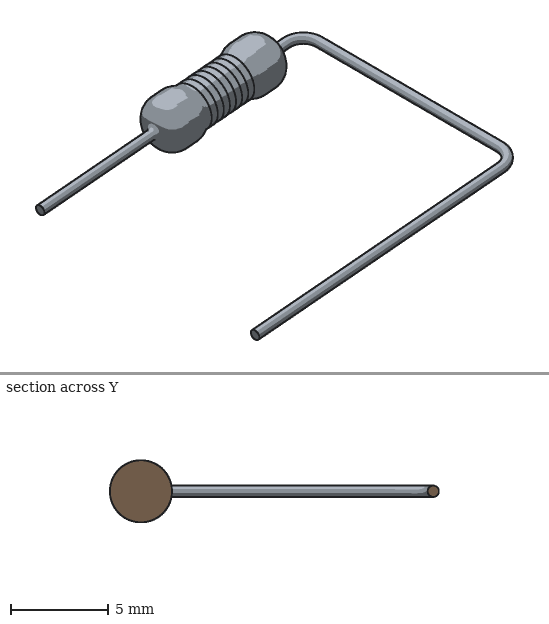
import cadquery as cq
import math


wire_diameter = 0.6
lead_pitch = 15.0
bend_radius = 1.2
cross_wire_y = 6.7
lead_end_y = -13.1

cap_diameter = 3.2
waist_diameter = 2.72
band_diameter = 2.74
band_count = 4
band_width = 0.46
band_step = 2 * band_width
cap_inner_y = 2.56
cap_outer_y = 3.38
dome_radius = 1.1
neck_diameter = 1.2
neck_end_y = 4.77

wire_radius = wire_diameter / 2
cap_radius = cap_diameter / 2
waist_radius = waist_diameter / 2
neck_radius = neck_diameter / 2

waist_end_y = ((band_count - 1) * band_step + band_width) / 2


def make_wire():
    """One wire: through the body, across in X and back along the second lead."""
    bend_start_y = cross_wire_y - bend_radius
    far_bend_x = lead_pitch - bend_radius
    path = (
        cq.Workplane("XY")
        .moveTo(0, lead_end_y)
        .lineTo(0, bend_start_y)
        .radiusArc((bend_radius, cross_wire_y), bend_radius)
        .lineTo(far_bend_x, cross_wire_y)
        .radiusArc((lead_pitch, bend_start_y), bend_radius)
        .lineTo(lead_pitch, lead_end_y)
    )
    section = cq.Workplane("XZ", origin=(0, lead_end_y, 0)).circle(wire_radius)
    return section.sweep(path)


def make_disc(diameter, start_y, length):
    """A cylinder on the body axis, running from start_y toward +Y."""
    plane = cq.Workplane("XZ", origin=(0, start_y, 0))
    return plane.circle(diameter / 2).extrude(-length)


def make_body_end():
    """The +Y end of the body: shoulder, cap, dome and neck, revolved about the Y axis."""
    shoulder_length = cap_inner_y - waist_end_y
    shoulder_drop = cap_radius - waist_radius
    shoulder_radius = (shoulder_length**2 + shoulder_drop**2) / (4 * shoulder_drop)
    shoulder_middle = ((cap_radius + waist_radius) / 2, (cap_inner_y + waist_end_y) / 2)

    dome_centre_x = cap_radius - dome_radius
    dome_end_offset = neck_radius - dome_centre_x
    dome_end_y = cap_outer_y + math.sqrt(dome_radius**2 - dome_end_offset**2)

    neck_width = neck_radius - wire_radius
    neck_height = neck_end_y - dome_end_y
    neck_fillet_radius = (neck_width**2 + neck_height**2) / (2 * neck_width)

    profile = (
        cq.Workplane("XY")
        .moveTo(0, waist_end_y)
        .lineTo(waist_radius, waist_end_y)
        .radiusArc(shoulder_middle, shoulder_radius)
        .radiusArc((cap_radius, cap_inner_y), -shoulder_radius)
        .lineTo(cap_radius, cap_outer_y)
        .radiusArc((neck_radius, dome_end_y), -dome_radius)
        .radiusArc((wire_radius, neck_end_y), neck_fillet_radius)
        .lineTo(0, neck_end_y)
        .close()
    )
    return profile.revolve(360, (0, 0, 0), (0, 1, 0))


body_end = make_body_end()
waist = make_disc(waist_diameter, -waist_end_y, 2 * waist_end_y)
result = waist.union(body_end).union(body_end.mirror("XZ"))

for index in range(band_count):
    band_start_y = -waist_end_y + index * band_step
    result = result.union(make_disc(band_diameter, band_start_y, band_width))

result = result.union(make_wire())